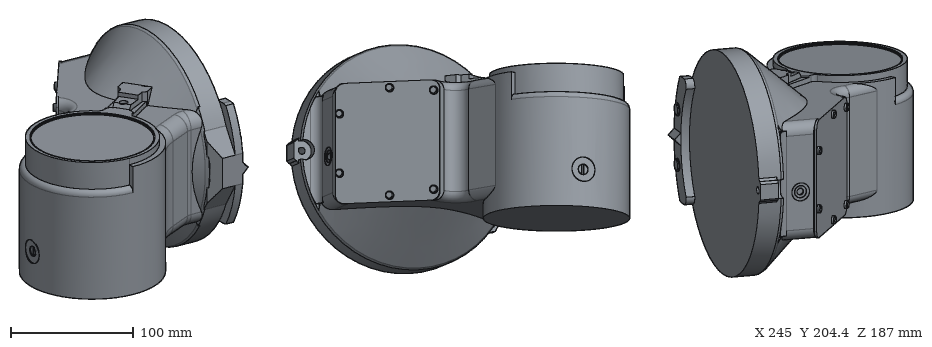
import math

import cadquery as cq


RIM_RADIUS = 93.49
RIM_STRAIGHT = 19.2
RIM_DEPTH = 21.7
CONE_START_RADIUS = 92.3
CONE_END_RADIUS = 46.0
CONE_END_DEPTH = 75.4

DRUM_X = 87.6
DRUM_Y = -131.5
DRUM_RADIUS = 60.0
DRUM_BOTTOM = -63.5
DRUM_TOP = 55.7
NECK_RADIUS = 55.0
SHOULDER_TOP = 32.0
SHOULDER_START_ANGLE = 210.0
SHOULDER_END_ANGLE = 360.0
LID_RADIUS = 50.2
LID_SEAT_RADIUS = 51.2
LID_SEAT_DEPTH = 0.8
LID_DEPTH = 1.6

ARM_HALF_HEIGHT = 50.0
ARM_LEFT = -77.8
ARM_ROOT_Y = -12.0
ARM_LEFT_FILLET = 10.0
ARM_INNER_FILLET = 8.0
ARM_OUTER_FILLET = 12.5
ARM_HEADING = math.radians(-62.5)
FRONT_SLOPE = math.radians(35.1)
FRONT_CORNER_Y = -52.4
BEND_X = 5.1
BEND_RADIUS = 11.5
BEND_TOP_Y = -104.0
INNER_END_Y = -143.4
OUTER_SIDE_OFFSET = 41.6
OUTER_BLEND_RADIUS = 50.0
OUTER_START_Y = -36.5
TURN_RADIUS = 9.0
ROOT_FILLET = 7.5
ROOT_FILLET_HALF_HEIGHT = 44.4

COVER_THICKNESS = 2.0
COVER_START = 2.4
COVER_LENGTH = 87.6
COVER_CORNER = 7.0
SCREW_RADIUS = 3.4
SCREW_HEIGHT = 2.6
SCREW_EDGE_CHAMFER = 0.8
SCREW_PLACES = [(6.2, 24.7), (48.3, 44.7), (85.4, 41.2)]

LATCH_ANGLE = 125.0
TONGUE_HALF_WIDTH = 12.3
TONGUE_TOP = 54.3
TONGUE_END = 90.0
TONGUE_FILLET = 5.0
BRIDGE_SHOULDER = 60.0
BRIDGE_HALF_WIDTH = 7.2
LATCH_START = 64.2
LATCH_STEP = 79.7
LATCH_NECK_END = 87.0
LATCH_SHOULDER = 89.5
LATCH_END = 100.3
LATCH_HALF_WIDTH = 13.0
LATCH_NECK_HALF_WIDTH = 9.5
LATCH_LOW_TOP = 59.1
LATCH_HIGH_TOP = 62.8
LATCH_END_SLOPE = 2.6
LATCH_HOLE_DISTANCE = 69.7
LATCH_HOLE_RADIUS = 3.5
LATCH_HOLE_DEPTH = 2.5

EYE_LEFT = -97.4
EYE_HOLE_X = -90.3
EYE_DEPTH = 15.4
EYE_SEAT_RADIUS = 8.3
EYE_HOLE_RADIUS = 2.9
EYE_HALF_HEIGHT = 8.5
EYE_CHAMFER = 2.0
EYE_FOOT_HALF_HEIGHT = 10.5

LUG_BACK = 7.5
LUG_RIGHT = 100.6
LUG_INNER_RADIUS = 83.9
LUG_TIP_Z = 45.7
LUG_TIP_MIDDLE_X = 71.5
LUG_TIP_MIDDLE_Z = 50.8
LUG_TOP_Z = 53.3
LUG_TOP_INNER_X = 74.8
LUG_TOP_OUTER_X = 82.6
LUG_OUTER_RADIUS = 101.5
LUG_SIDE_X = 86.8
LUG_BEVEL_Y = -12.6
RIDGE_HEIGHT = 5.35
LUG_SCREW_X = 91.5
LUG_SCREW_Z = 23.5
LUG_SCREW_RADIUS = 5.4
LUG_SCREW_HEIGHT = 1.7

COLLAR_INNER_RADIUS = 75.0
COLLAR_STRAIGHT = 20.7
COLLAR_DEPTH = 26.7
COLLAR_LEFT = 77.0

DRUM_PLUG_Z = -32.5
DRUM_PLUG_SEAT_RADIUS = 10.1
DRUM_PLUG_SEAT_DEPTH = 1.2
DRUM_PLUG_RADIUS = 4.3
DRUM_PLUG_DEPTH = 1.0
DRUM_SLOT_WIDTH = 1.6
SIDE_PLUG_Y = -41.4
SIDE_PLUG_Z = -8.1
SIDE_PLUG_STEPS = [(7.6, 0.5), (5.1, 1.2), (2.8, 3.0)]


def prism(outline, bottom, top):
    """Extrude a plan outline between two heights."""
    return outline.close().extrude(top - bottom).translate((0, 0, bottom))


def cylinder(radius, bottom, top):
    """Upright cylinder on the drum axis."""
    return cq.Workplane("XY", origin=(DRUM_X, DRUM_Y, bottom)).circle(radius).extrude(top - bottom)


def along_y(x, z, radius, y_from, y_to):
    """Cylinder parallel to the Y axis."""
    direction = cq.Vector(0, math.copysign(1, y_to - y_from), 0)
    solid = cq.Solid.makeCylinder(radius, abs(y_to - y_from), cq.Vector(x, y_from, z), direction)
    return cq.Workplane(solid)


def make_dish():
    profile = [
        (0, 0),
        (RIM_RADIUS, 0),
        (RIM_RADIUS, -RIM_STRAIGHT),
        (CONE_START_RADIUS, -RIM_DEPTH),
        (CONE_END_RADIUS, -CONE_END_DEPTH),
        (0, -CONE_END_DEPTH),
    ]
    dish = cq.Workplane("XY").polyline(profile).close().revolve(360, (0, 0, 0), (0, 1, 0))
    beside_arm = cq.Workplane("XY").box(RIM_RADIUS, CONE_END_DEPTH, 2 * RIM_RADIUS)
    beside_arm = beside_arm.translate((ARM_LEFT - RIM_RADIUS / 2, -RIM_DEPTH - CONE_END_DEPTH / 2, 0))
    return dish.cut(beside_arm)


def make_drum():
    lower = cylinder(DRUM_RADIUS, DRUM_BOTTOM, ARM_HALF_HEIGHT)
    ring_width = DRUM_RADIUS - NECK_RADIUS
    shoulder_bottom = SHOULDER_TOP - ring_width
    corner = (
        cq.Workplane("XZ")
        .moveTo(NECK_RADIUS, ARM_HALF_HEIGHT)
        .lineTo(NECK_RADIUS, SHOULDER_TOP)
        .radiusArc((DRUM_RADIUS, shoulder_bottom), ring_width)
        .lineTo(DRUM_RADIUS + ring_width, shoulder_bottom)
        .lineTo(DRUM_RADIUS + ring_width, ARM_HALF_HEIGHT)
        .close()
        .revolve(SHOULDER_END_ANGLE - SHOULDER_START_ANGLE, (0, 0, 0), (0, -1, 0))
        .translate((DRUM_X, DRUM_Y, 0))
    )
    neck = cylinder(NECK_RADIUS, DRUM_BOTTOM, DRUM_TOP)
    return lower.cut(corner).union(neck)


def front_y(x):
    """Y of the slanted front face of the arm at a given X."""
    return FRONT_CORNER_Y - math.tan(FRONT_SLOPE) * (x - ARM_LEFT)


def arm_point(along, across):
    """Plan point measured from the drum axis, along the arm sides and square to them (right positive)."""
    cos_h = math.cos(ARM_HEADING)
    sin_h = math.sin(ARM_HEADING)
    return (
        DRUM_X + along * cos_h - across * sin_h,
        DRUM_Y + along * sin_h + across * cos_h,
    )


def polar(center, radius, angle):
    """Plan point at a radius and angle from a centre."""
    return (center[0] + radius * math.cos(angle), center[1] + radius * math.sin(angle))


def make_arm():
    square = ARM_HEADING + math.pi / 2

    bend = (BEND_X, BEND_TOP_Y - BEND_RADIUS)
    face_gap = (front_y(bend[0]) - bend[1]) * math.cos(FRONT_SLOPE)
    bend_start = polar(bend, BEND_RADIUS, math.pi - FRONT_SLOPE - math.asin(face_gap / BEND_RADIUS))
    bend_middle = polar(bend, BEND_RADIUS, math.pi / 2)
    bend_end = (BEND_X + BEND_RADIUS, bend[1])
    inner_end = (DRUM_X - math.sqrt(DRUM_RADIUS**2 - (INNER_END_Y - DRUM_Y) ** 2), INNER_END_Y)

    blend_across = OUTER_SIDE_OFFSET + OUTER_BLEND_RADIUS
    blend_along = -math.sqrt((DRUM_RADIUS + OUTER_BLEND_RADIUS) ** 2 - blend_across**2)
    blend = arm_point(blend_along, blend_across)
    blend_start = arm_point(blend_along, OUTER_SIDE_OFFSET)
    drum_side = math.atan2(blend[1] - DRUM_Y, blend[0] - DRUM_X)
    blend_end = polar((DRUM_X, DRUM_Y), DRUM_RADIUS, drum_side)
    blend_middle = polar(blend, -OUTER_BLEND_RADIUS, (square + drum_side) / 2)
    outer_along = (OUTER_START_Y - DRUM_Y - OUTER_SIDE_OFFSET * math.cos(ARM_HEADING)) / math.sin(ARM_HEADING)
    outer_start = arm_point(outer_along, OUTER_SIDE_OFFSET)
    turn = arm_point(outer_along, OUTER_SIDE_OFFSET + TURN_RADIUS)
    turn_end = polar(turn, TURN_RADIUS, math.pi)
    turn_middle = polar(turn, TURN_RADIUS, math.pi + square / 2)

    outline = (
        cq.Workplane("XY")
        .moveTo(ARM_LEFT, ARM_ROOT_Y)
        .lineTo(ARM_LEFT, FRONT_CORNER_Y)
        .lineTo(*bend_start)
        .threePointArc(bend_middle, bend_end)
        .lineTo(*inner_end)
        .lineTo(DRUM_X, DRUM_Y)
        .lineTo(*blend_end)
        .threePointArc(blend_middle, blend_start)
        .lineTo(*outer_start)
        .threePointArc(turn_middle, turn_end)
        .lineTo(turn_end[0], ARM_ROOT_Y)
    )
    arm = prism(outline, -ARM_HALF_HEIGHT, ARM_HALF_HEIGHT)

    left_middle = (ARM_LEFT, (ARM_ROOT_Y + FRONT_CORNER_Y) / 2)
    inner_middle = ((bend_end[0] + inner_end[0]) / 2, (bend_end[1] + inner_end[1]) / 2)
    outer_middle = ((blend_start[0] + outer_start[0]) / 2, (blend_start[1] + outer_start[1]) / 2)
    rounded_sides = [
        ([left_middle], ARM_LEFT_FILLET),
        ([bend_middle, inner_middle], ARM_INNER_FILLET),
        ([outer_middle], ARM_OUTER_FILLET),
    ]
    for places, radius in rounded_sides:
        for height in (-ARM_HALF_HEIGHT, ARM_HALF_HEIGHT):
            edges = cq.Workplane()
            for place in places:
                edges = edges.add(arm.edges(cq.selectors.NearestToPointSelector((*place, height))))
            arm = cq.Workplane(arm.val().fillet(radius, edges.vals()))
    return arm


def make_root_fillet():
    """Concave strip between the left side of the arm and the rim."""
    strip = (
        cq.Workplane("XY")
        .moveTo(ARM_LEFT - ROOT_FILLET, -RIM_DEPTH)
        .radiusArc((ARM_LEFT, -RIM_DEPTH - ROOT_FILLET), ROOT_FILLET)
        .lineTo(ARM_LEFT + ROOT_FILLET, -RIM_DEPTH - ROOT_FILLET)
        .lineTo(ARM_LEFT + ROOT_FILLET, -RIM_STRAIGHT)
        .lineTo(ARM_LEFT - ROOT_FILLET, -RIM_STRAIGHT)
    )
    solid = prism(strip, -ROOT_FILLET_HALF_HEIGHT, ROOT_FILLET_HALF_HEIGHT)
    return solid.intersect(along_y(0, 0, CONE_START_RADIUS, 0, -CONE_END_DEPTH))


def make_cover():
    """Plate on the slanted front face, with its screws; local X runs along the slope from the left."""
    plane = cq.Plane(
        origin=(ARM_LEFT, FRONT_CORNER_Y, 0),
        xDir=(math.cos(FRONT_SLOPE), -math.sin(FRONT_SLOPE), 0),
        normal=(-math.sin(FRONT_SLOPE), -math.cos(FRONT_SLOPE), 0),
    )
    cover = (
        cq.Workplane(plane)
        .center(COVER_START + COVER_LENGTH / 2, 0)
        .rect(COVER_LENGTH, 2 * ARM_HALF_HEIGHT)
        .extrude(COVER_THICKNESS)
        .edges(cq.selectors.ParallelDirSelector(plane.zDir))
        .fillet(COVER_CORNER)
    )
    places = [(x, side * z) for x, z in SCREW_PLACES for side in (-1, 1)]
    screws = (
        cq.Workplane(plane)
        .workplane(offset=COVER_THICKNESS)
        .pushPoints(places)
        .circle(SCREW_RADIUS)
        .extrude(SCREW_HEIGHT)
        .faces(cq.selectors.DirectionMinMaxSelector(plane.zDir, True))
        .chamfer(SCREW_EDGE_CHAMFER)
    )
    return cover.union(screws)


def latch_outline(points):
    """Mirrored outline about the latch axis from (distance, half width) points."""
    other_side = [(distance, -half) for distance, half in reversed(points)]
    return cq.Workplane("XY").polyline(points + other_side)


def place_latch(solid):
    return solid.rotate((0, 0, 0), (0, 0, 1), LATCH_ANGLE).translate((DRUM_X, DRUM_Y, 0))


def make_tongue(shape, top):
    """Slab reaching out from the drum neck, blended into it."""
    slab = prism(latch_outline(shape), ARM_HALF_HEIGHT, top)
    neck = cq.Workplane("XY").workplane(offset=ARM_HALF_HEIGHT).circle(NECK_RADIUS)
    slab = slab.union(neck.extrude(top - ARM_HALF_HEIGHT))
    meeting = math.sqrt(NECK_RADIUS**2 - TONGUE_HALF_WIDTH**2)
    for side in (-1, 1):
        corner = (meeting, side * TONGUE_HALF_WIDTH, (ARM_HALF_HEIGHT + top) / 2)
        slab = slab.edges(cq.selectors.NearestToPointSelector(corner)).fillet(TONGUE_FILLET)
    return slab


def make_latch():
    """Tongue, bridge and stepped block; built along +X from the drum axis, then turned into place."""
    tongue = make_tongue([(0, TONGUE_HALF_WIDTH), (TONGUE_END, TONGUE_HALF_WIDTH)], TONGUE_TOP)
    bridge_shape = [
        (0, TONGUE_HALF_WIDTH),
        (BRIDGE_SHOULDER, TONGUE_HALF_WIDTH),
        (LATCH_START, BRIDGE_HALF_WIDTH),
    ]
    bridge = make_tongue(bridge_shape, DRUM_TOP)

    shape = [
        (LATCH_START, BRIDGE_HALF_WIDTH),
        (LATCH_NECK_END, LATCH_NECK_HALF_WIDTH),
        (LATCH_SHOULDER, LATCH_HALF_WIDTH),
        (LATCH_END, LATCH_HALF_WIDTH),
    ]
    block = prism(latch_outline(shape), ARM_HALF_HEIGHT, LATCH_HIGH_TOP)
    step = (
        cq.Workplane("XZ", origin=(0, LATCH_HALF_WIDTH, 0))
        .moveTo(LATCH_STEP, LATCH_HIGH_TOP)
        .lineTo(LATCH_STEP, LATCH_LOW_TOP)
        .lineTo(LATCH_START + LATCH_END_SLOPE, LATCH_LOW_TOP)
        .lineTo(LATCH_START, DRUM_TOP)
        .lineTo(LATCH_START, LATCH_HIGH_TOP)
        .close()
        .extrude(2 * LATCH_HALF_WIDTH)
    )
    hole = (
        cq.Workplane("XY", origin=(LATCH_HOLE_DISTANCE, 0, LATCH_LOW_TOP))
        .circle(LATCH_HOLE_RADIUS)
        .extrude(-LATCH_HOLE_DEPTH)
    )
    return place_latch(tongue.union(bridge).union(block.cut(step)).cut(hole))


def xz_prism(outline, y_from, y_to):
    """Extrude an outline drawn in X and Z between two Y positions."""
    return outline.close().extrude(y_from - y_to).translate((0, y_from, 0))


def make_collar():
    """Bevelled thickening behind the rim where the arm meets it below the lug."""
    profile = [
        (COLLAR_INNER_RADIUS, -RIM_STRAIGHT),
        (RIM_RADIUS, -RIM_STRAIGHT),
        (RIM_RADIUS, -COLLAR_STRAIGHT),
        (RIM_RADIUS - COLLAR_DEPTH + COLLAR_STRAIGHT, -COLLAR_DEPTH),
        (COLLAR_INNER_RADIUS, -COLLAR_DEPTH),
    ]
    collar = cq.Workplane("XY").polyline(profile).close().revolve(360, (0, 0, 0), (0, 1, 0))
    keep = cq.Workplane("XY").box(RIM_RADIUS, 2 * COLLAR_DEPTH, 2 * RIM_RADIUS)
    return collar.intersect(keep.translate((COLLAR_LEFT + RIM_RADIUS / 2, 0, 0)))


def make_eye():
    neck_x = EYE_LEFT + EYE_CHAMFER
    foot_x = -math.sqrt(RIM_RADIUS**2 - EYE_FOOT_HALF_HEIGHT**2)
    shape = [
        (EYE_LEFT, EYE_HALF_HEIGHT - EYE_CHAMFER),
        (neck_x, EYE_HALF_HEIGHT),
        (foot_x - EYE_FOOT_HALF_HEIGHT + EYE_HALF_HEIGHT, EYE_HALF_HEIGHT),
        (foot_x, EYE_FOOT_HALF_HEIGHT),
    ]
    mirrored = [(x, -z) for x, z in reversed(shape)]
    return xz_prism(cq.Workplane("XZ").polyline(shape + mirrored), 0, -EYE_DEPTH)


def make_eye_cuts():
    """Seat sunk into the back of the rim behind the eye, and the hole through it."""
    seat = along_y(EYE_HOLE_X, 0, EYE_SEAT_RADIUS, -EYE_DEPTH, -RIM_DEPTH - ROOT_FILLET)
    return seat.union(along_y(EYE_HOLE_X, 0, EYE_HOLE_RADIUS, 0, -EYE_DEPTH))


def make_lug():
    inner_x = math.sqrt(LUG_INNER_RADIUS**2 - LUG_TIP_Z**2)
    right_z = math.sqrt(LUG_OUTER_RADIUS**2 - LUG_RIGHT**2)
    shoulder_z = math.sqrt(LUG_OUTER_RADIUS**2 - LUG_SIDE_X**2)
    arc_angle = math.atan2(right_z + shoulder_z, LUG_RIGHT + LUG_SIDE_X)
    arc_x, arc_z = polar((0, 0), LUG_OUTER_RADIUS, arc_angle)
    crescent = (
        cq.Workplane("XZ")
        .moveTo(inner_x, LUG_TIP_Z)
        .threePointArc((LUG_TIP_MIDDLE_X, LUG_TIP_MIDDLE_Z), (LUG_TOP_INNER_X, LUG_TOP_Z))
        .lineTo(LUG_TOP_OUTER_X, LUG_TOP_Z)
        .lineTo(LUG_SIDE_X, shoulder_z)
        .threePointArc((arc_x, arc_z), (LUG_RIGHT, right_z))
        .lineTo(LUG_RIGHT, -right_z)
        .threePointArc((arc_x, -arc_z), (LUG_SIDE_X, -shoulder_z))
        .lineTo(LUG_TOP_OUTER_X, -LUG_TOP_Z)
        .lineTo(LUG_TOP_INNER_X, -LUG_TOP_Z)
        .threePointArc((LUG_TIP_MIDDLE_X, -LUG_TIP_MIDDLE_Z), (inner_x, -LUG_TIP_Z))
        .threePointArc((LUG_INNER_RADIUS, 0), (inner_x, LUG_TIP_Z))
    )
    lug = xz_prism(crescent, LUG_BACK, 0)

    side_z = math.sqrt(RIM_RADIUS**2 - LUG_SIDE_X**2)
    side_shape = [
        (LUG_SIDE_X, side_z),
        (LUG_RIGHT, right_z),
        (LUG_RIGHT, -right_z),
        (LUG_SIDE_X, -side_z),
    ]
    side = xz_prism(cq.Workplane("XZ").polyline(side_shape), 0, -RIM_DEPTH)
    bevel_reach = RIM_DEPTH + LUG_BEVEL_Y
    bevel = cq.Workplane("XY").polyline(
        [
            (LUG_RIGHT, LUG_BEVEL_Y),
            (LUG_RIGHT, -RIM_DEPTH),
            (LUG_RIGHT - bevel_reach, -RIM_DEPTH),
        ]
    )
    side = side.cut(prism(bevel, -side_z, side_z))

    ridge_outline = cq.Workplane("YZ").polyline(
        [
            (0, RIDGE_HEIGHT),
            (LUG_BACK, RIDGE_HEIGHT),
            (LUG_BACK + RIDGE_HEIGHT, 0),
            (LUG_BACK, -RIDGE_HEIGHT),
            (0, -RIDGE_HEIGHT),
        ]
    )
    ridge = ridge_outline.close().extrude(LUG_RIGHT - LUG_INNER_RADIUS).translate((LUG_INNER_RADIUS, 0, 0))
    lug = lug.union(side).union(ridge)
    for z in (-LUG_SCREW_Z, LUG_SCREW_Z):
        head = along_y(LUG_SCREW_X, z, LUG_SCREW_RADIUS, LUG_BACK, LUG_BACK + LUG_SCREW_HEIGHT)
        lug = lug.union(head.faces(">Y").chamfer(SCREW_EDGE_CHAMFER))
    return lug


def make_lid_cuts():
    """Seat in the drum top with a slightly smaller lid sunk below it."""
    seat = cylinder(LID_SEAT_RADIUS, DRUM_TOP - LID_SEAT_DEPTH, DRUM_TOP)
    return seat.union(cylinder(LID_RADIUS, DRUM_TOP - LID_DEPTH, DRUM_TOP))


def make_drum_plug_cuts():
    """Flat seat on the drum front with a sunk, slotted plug."""
    front = DRUM_Y - DRUM_RADIUS
    seat = front + DRUM_PLUG_SEAT_DEPTH
    floor = seat + DRUM_PLUG_DEPTH
    slot_length = 2 * DRUM_PLUG_RADIUS
    cuts = along_y(DRUM_X, DRUM_PLUG_Z, DRUM_PLUG_SEAT_RADIUS, front, seat)
    cuts = cuts.union(along_y(DRUM_X, DRUM_PLUG_Z, DRUM_PLUG_RADIUS, front, floor))
    slot = cq.Workplane("XY").box(DRUM_SLOT_WIDTH, 2 * DRUM_PLUG_DEPTH, slot_length)
    slot = slot.translate((DRUM_X, floor, DRUM_PLUG_Z))
    return cuts.union(slot)


def make_side_plug_cuts():
    """Stepped plug recess in the left side of the arm."""
    cuts = cq.Workplane("YZ")
    for radius, depth in SIDE_PLUG_STEPS:
        step = cq.Workplane("YZ", origin=(ARM_LEFT, SIDE_PLUG_Y, SIDE_PLUG_Z)).circle(radius).extrude(depth)
        cuts = cuts.add(step)
    return cuts.combine()


additions = [
    make_arm(),
    make_drum(),
    make_root_fillet(),
    make_cover(),
    make_latch(),
    make_collar(),
    make_eye(),
    make_lug(),
]
removals = [
    make_lid_cuts(),
    make_drum_plug_cuts(),
    make_side_plug_cuts(),
    make_eye_cuts(),
]
result = make_dish()
for addition in additions:
    result = result.union(addition)
for removal in removals:
    result = result.cut(removal)